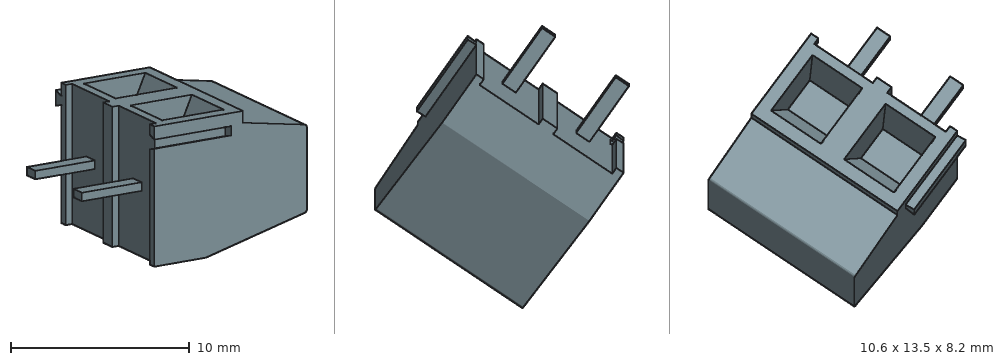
import cadquery as cq

pole_count = 2
housing_width = 10.0
pitch = housing_width / pole_count
housing_depth = housing_width
housing_height = 8.2

step_y = 5.8
step_z = 7.5
back_top_z = 6.74
back_bottom_z = 1.65
base_length = 3.38
back_edge_radius = 0.2

rib_width = 1.0
recess_depth = 0.4

pocket_depth = 2.16
pocket_top_width = 3.4
pocket_top_front = 1.0
pocket_top_back = 5.02
pocket_floor_width = 2.8
pocket_floor_front = 1.7
pocket_floor_back = 3.82

pin_width = 0.9
pin_thickness = 0.5
pin_length = 3.5

rail_projection = 0.6
rail_length = pocket_top_back
rail_center_z = 7.15
rail_outer_height = 0.92
rail_root_height = 0.54
groove_depth = 0.62


def make_housing():
    """Extrude the side profile across the width and round the back edges."""
    profile = [
        (0, 0),
        (base_length, 0),
        (housing_depth, back_bottom_z),
        (housing_depth, back_top_z),
        (step_y, step_z),
        (step_y, housing_height),
        (0, housing_height),
    ]
    housing = cq.Workplane("YZ").polyline(profile).close().extrude(housing_width)
    return housing.faces(">Y").edges("|X").fillet(back_edge_radius)


def make_recess(center_x):
    """Full-height recess of one pole, leaving ribs beside it."""
    width = pitch - rib_width
    return cq.Workplane("XY").box(
        width, recess_depth, housing_height, centered=(True, False, False)
    ).translate((center_x, 0, 0))


def pocket_outline(center_x, width, front, back):
    """Corners of a pocket rectangle at one level."""
    left = center_x - width / 2
    right = center_x + width / 2
    return [(left, front), (right, front), (right, back), (left, back)]


def make_pocket(center_x):
    """Funnel that narrows from the top face to a flat floor."""
    mouth = pocket_outline(center_x, pocket_top_width, pocket_top_front, pocket_top_back)
    floor = pocket_outline(center_x, pocket_floor_width, pocket_floor_front, pocket_floor_back)
    return (
        cq.Workplane("XY", origin=(0, 0, housing_height))
        .polyline(mouth).close()
        .workplane(offset=-pocket_depth)
        .polyline(floor).close()
        .loft(ruled=True)
    )


def make_pin(center_x):
    """Rectangular pin from the recess face to its free end."""
    pin = cq.Workplane("XY").box(
        pin_width, pin_length + recess_depth, pin_thickness, centered=(True, False, True)
    )
    return pin.translate((center_x, -pin_length, housing_height / 2))


def make_dovetail(root_x, projection):
    """Dovetail bar that widens from its root towards -X."""
    outer_x = root_x - projection
    profile = [
        (root_x, rail_center_z - rail_root_height / 2),
        (root_x, rail_center_z + rail_root_height / 2),
        (outer_x, rail_center_z + rail_outer_height / 2),
        (outer_x, rail_center_z - rail_outer_height / 2),
    ]
    return cq.Workplane("XZ").polyline(profile).close().extrude(-rail_length)


result = make_housing()
for pole in range(pole_count):
    pole_x = (pole + 0.5) * pitch
    result = result.cut(make_recess(pole_x))
    result = result.cut(make_pocket(pole_x))
    result = result.union(make_pin(pole_x))

result = result.union(make_dovetail(0, rail_projection))
result = result.cut(make_dovetail(housing_width, groove_depth))